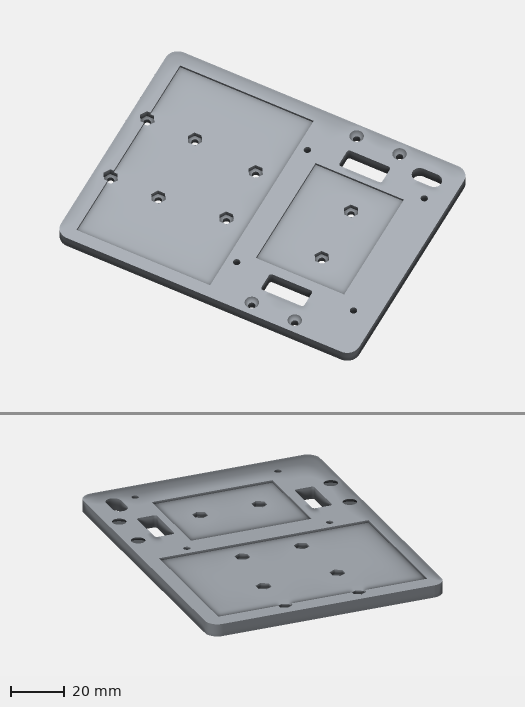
import cadquery as cq

PLATE_LENGTH = 125.0
PLATE_WIDTH = 96.0
PLATE_THICKNESS = 5.0
CORNER_RADIUS = 5.0

RECESS_DEPTH = 1.0
LARGE_RECESS_SIZE = (56.0, 85.0)
LARGE_RECESS_CENTER = (-LARGE_RECESS_SIZE[0] / 2, -0.5)
SMALL_RECESS_SIZE = (37.0, 49.0)
SMALL_RECESS_CENTER = (28.0, 0.5)

SCREW_DIAMETER = 2.8
NUT_ACROSS_CORNERS = 6.0
NUT_POCKET_DEPTH = 3.0
LEFT_NUT_PITCH = (20.0, 30.0)
LEFT_NUT_CENTER_X = -46.0
MIDDLE_NUT_PITCH = (40.0, 24.0)
MIDDLE_NUT_CENTER_X = 11.0

PLAIN_HOLE_PITCH = (49.0, 58.0)
PLAIN_HOLE_CENTER_X = 28.5

UNDERCUT_PITCH_X = 18.0
UNDERCUT_CENTER_X = 26.5
UNDERCUT_EDGE_DISTANCE = 5.0
UNDERCUT_MOUTH_DIAMETER = 5.4
UNDERCUT_DEPTH = 2.0
UNDERCUT_FLOOR_DIAMETER = UNDERCUT_MOUTH_DIAMETER + 2 * UNDERCUT_DEPTH

WINDOW_LENGTH = UNDERCUT_PITCH_X
WINDOW_WIDTH = 8.0
WINDOW_CORNER_RADIUS = 1.0
WINDOW_OFFSET_Y = 32.0

SLOT_LENGTH = 12.0
SLOT_WIDTH = 6.0
SLOT_CENTER = (49.5, 38.0)


def corner_points(center_x, pitch_x, pitch_y):
    """Four corners of a rectangle centred on Y = 0."""
    return [
        (center_x + side_x * pitch_x / 2, side_y * pitch_y / 2)
        for side_x in (-1, 1)
        for side_y in (-1, 1)
    ]


def recess(size, center):
    """Rectangular block that sinks into the top face."""
    return (
        cq.Workplane("XY", origin=(*center, PLATE_THICKNESS - RECESS_DEPTH))
        .rect(*size)
        .extrude(RECESS_DEPTH)
    )


def undercut_seat():
    """Cone with its narrow mouth in the top face and its wide floor below."""
    floor_z = PLATE_THICKNESS - UNDERCUT_DEPTH
    return (
        cq.Workplane("XZ")
        .moveTo(0, floor_z)
        .lineTo(UNDERCUT_FLOOR_DIAMETER / 2, floor_z)
        .lineTo(UNDERCUT_MOUTH_DIAMETER / 2, PLATE_THICKNESS)
        .lineTo(0, PLATE_THICKNESS)
        .close()
        .revolve(360, (0, 0, 0), (0, 1, 0))
    )


nut_points = (
    corner_points(LEFT_NUT_CENTER_X, *LEFT_NUT_PITCH)
    + corner_points(MIDDLE_NUT_CENTER_X, *MIDDLE_NUT_PITCH)
)
plain_points = corner_points(PLAIN_HOLE_CENTER_X, *PLAIN_HOLE_PITCH)
undercut_pitch_y = PLATE_WIDTH - 2 * UNDERCUT_EDGE_DISTANCE
undercut_points = corner_points(UNDERCUT_CENTER_X, UNDERCUT_PITCH_X, undercut_pitch_y)

plate = (
    cq.Workplane("XY")
    .rect(PLATE_LENGTH, PLATE_WIDTH)
    .extrude(PLATE_THICKNESS)
    .edges("|Z")
    .fillet(CORNER_RADIUS)
)

screw_holes = (
    cq.Workplane("XY")
    .pushPoints(nut_points + plain_points + undercut_points)
    .circle(SCREW_DIAMETER / 2)
    .extrude(PLATE_THICKNESS)
)

nut_pockets = (
    cq.Workplane("XY", origin=(0, 0, PLATE_THICKNESS - NUT_POCKET_DEPTH))
    .pushPoints(nut_points)
    .polygon(6, NUT_ACROSS_CORNERS)
    .extrude(NUT_POCKET_DEPTH)
)

windows = (
    cq.Workplane("XY")
    .pushPoints([(UNDERCUT_CENTER_X, side * WINDOW_OFFSET_Y) for side in (-1, 1)])
    .rect(WINDOW_LENGTH, WINDOW_WIDTH)
    .extrude(PLATE_THICKNESS)
    .edges("|Z")
    .fillet(WINDOW_CORNER_RADIUS)
)

slot = (
    cq.Workplane("XY")
    .center(*SLOT_CENTER)
    .slot2D(SLOT_LENGTH, SLOT_WIDTH)
    .extrude(PLATE_THICKNESS)
)

result = (
    plate.cut(recess(LARGE_RECESS_SIZE, LARGE_RECESS_CENTER))
    .cut(recess(SMALL_RECESS_SIZE, SMALL_RECESS_CENTER))
    .cut(nut_pockets)
    .cut(screw_holes)
    .cut(windows)
    .cut(slot)
)
for x, y in undercut_points:
    result = result.cut(undercut_seat().translate((x, y, 0)))